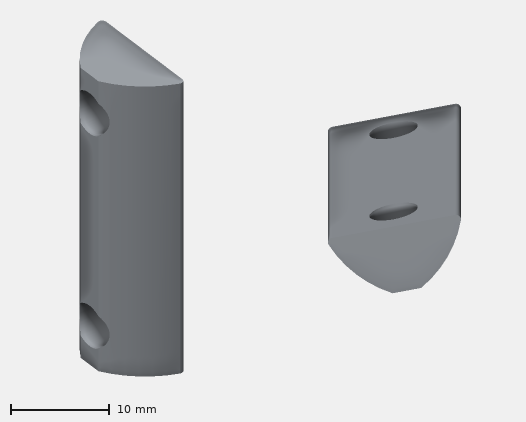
import cadquery as cq
import math

length = 36.0
width = 13.7
depth = 7.0

flat_width = 2.95
arc_radius = 12.25
corner_radius = 0.5

hole_diameter = 5.0
hole_spacing = 26.4
hole_middle_height = length / 2

back_y = depth / 2
front_y = -depth / 2
half_flat = flat_width / 2

corner_x = width / 2 - corner_radius
corner_y = back_y - corner_radius

centre_reach = arc_radius - corner_radius
span_x = corner_x - half_flat
span_y = corner_y - front_y
span = math.hypot(span_x, span_y)
along = (arc_radius**2 - centre_reach**2 + span**2) / (2 * span)
across = math.sqrt(arc_radius**2 - along**2)
flank_x = half_flat + (along * span_x - across * span_y) / span
flank_y = front_y + (along * span_y + across * span_x) / span


def on_circle(centre_x, centre_y, radius, angle):
    return (centre_x + radius * math.cos(angle), centre_y + radius * math.sin(angle))


def mirrored(point):
    return (-point[0], point[1])


flat_angle = math.atan2(front_y - flank_y, half_flat - flank_x)
tangent_angle = math.atan2(corner_y - flank_y, corner_x - flank_x)
flat_edge = (half_flat, front_y)
flank_middle = on_circle(flank_x, flank_y, arc_radius, (flat_angle + tangent_angle) / 2)
flank_end = on_circle(corner_x, corner_y, corner_radius, tangent_angle)
corner_middle = on_circle(corner_x, corner_y, corner_radius, (tangent_angle + math.pi / 2) / 2)
corner_end = (corner_x, back_y)

bar = (
    cq.Workplane("XY")
    .moveTo(*mirrored(flat_edge))
    .lineTo(*flat_edge)
    .threePointArc(flank_middle, flank_end)
    .threePointArc(corner_middle, corner_end)
    .lineTo(*mirrored(corner_end))
    .threePointArc(mirrored(corner_middle), mirrored(flank_end))
    .threePointArc(mirrored(flank_middle), mirrored(flat_edge))
    .close()
    .extrude(length)
)

holes = (
    cq.Workplane("XZ", origin=(0, 0, hole_middle_height))
    .rarray(0.35, hole_spacing, 1, 2)
    .circle(hole_diameter / 2)
    .extrude(depth, both=True)
)

result = bar.cut(holes)